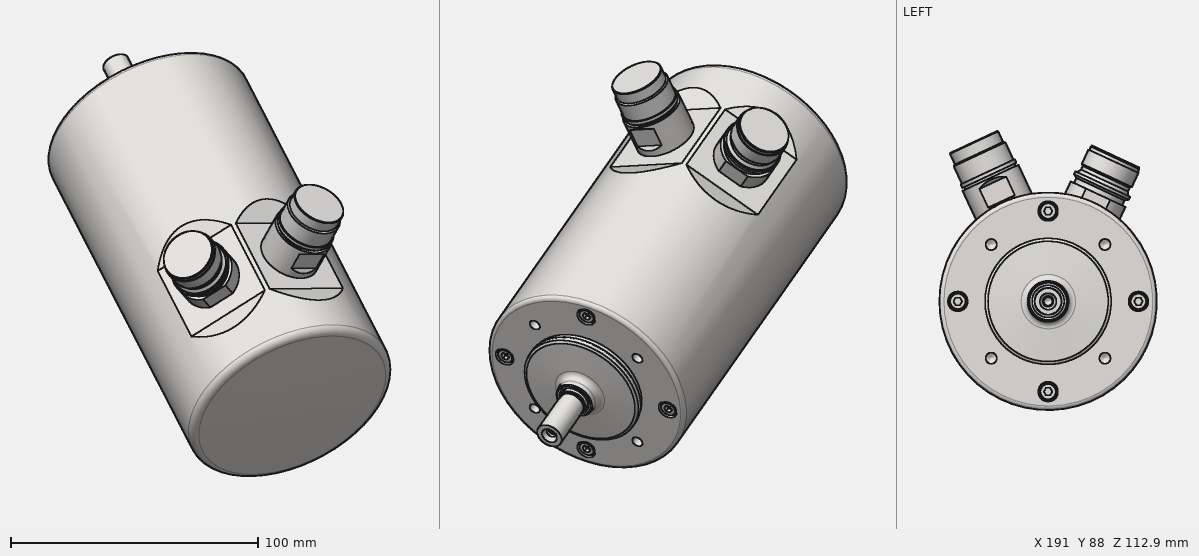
import cadquery as cq
import math


housing_radius = 44.0
housing_length = 155.2
front_edge_fillet = 1.8
rear_edge_fillet = 3.2
rear_dome_height = 1.3

pilot_radius = 25.5
pilot_undercut_radius = 25.0
pilot_undercut_length = 2.2
pilot_length = 6.0
pilot_chamfer_length = 0.6
pilot_chamfer_height = 1.2
pilot_cone_rise = 1.0
nose_fillet_radius = 11.0
nose_root_radius = 16.6 / 2
nose_root = 9.0
nose_radius = 16.0 / 2
nose_face_radius = 15.0 / 2
nose_tip = 11.6
seal_recess_radius = 13.0 / 2
seal_recess_depth = 2.0

shaft_radius = 11.0 / 2
shaft_tip = 34.5
shaft_groove_radius = 10.5 / 2
shaft_groove_start = 12.3
shaft_groove_end = 13.5

center_core_diameter = 3.43
center_core_depth = 14.0
center_guide_diameter = 4.35
center_guide_depth = 3.5
center_mouth_diameter = 6.7
center_mouth_depth = 2.0

hole_count = 4
screw_circle_radius = 36.5
screw_bore_diameter = 8.0
screw_bore_depth = 4.0
screw_head_diameter = 7.0
screw_head_height = 3.6
screw_head_chamfer = 0.4
socket_across_flats = 3.0
socket_depth = 2.0
tapped_circle_radius = 32.5
tapped_diameter = 4.5
tapped_depth = 10.0
drill_point_angle = 118.0

connector_x = 110.3
connector_tilt = 25.0
seat_height = 40.3
seat_length = 36.4
seat_ramp_angle = 20.5
wrench_flats = 22.0

tall_top = 71.1
tall_top_radius = 21.6 / 2
tall_face_radius = 21.0 / 2
tall_shoulder_top = 66.1
tall_shoulder_bottom = 65.6
tall_sleeve_radius = 23.1 / 2
tall_collar_top = 57.8
tall_collar_bottom = 56.2
tall_collar_radius = 24.2 / 2
tall_base_top = 55.1
tall_groove_radius = 22.6 / 2
tall_base_radius = 25.0 / 2
tall_flat_bottom = 44.6
tall_flat_top = 52.9

short_top = 64.6
short_face_radius = 21.15 / 2
short_rim = 64.0
short_rim_radius = 21.6 / 2
short_sleeve_top = 62.5
short_sleeve_radius = 22.4 / 2
short_sleeve_bottom = 56.2
short_waist_top = 55.5
short_waist_radius = 21.0 / 2
short_waist_bottom = 53.9
short_collar_top = 52.3
short_collar_inner_radius = 23.0 / 2
short_collar_bottom = 51.0
short_collar_radius = 24.5 / 2
short_groove_top = 50.0
short_groove_radius = 21.6 / 2
short_base_top = 47.8
short_base_radius = 24.5 / 2


def turned_body():
    """Housing, pilot, nose and shaft turned about the X axis."""
    dome_edge_radius = housing_radius - rear_edge_fillet
    dome_sphere = (dome_edge_radius**2 + rear_dome_height**2) / (2 * rear_dome_height)
    nose_chamfer = nose_radius - nose_face_radius
    nose_fillet = nose_fillet_radius - nose_root_radius
    pilot_face = pilot_length - pilot_cone_rise
    profile = (
        cq.Workplane("XY")
        .moveTo(-shaft_tip, 0)
        .lineTo(-shaft_tip, shaft_radius)
        .lineTo(-shaft_groove_end, shaft_radius)
        .lineTo(-shaft_groove_end, shaft_groove_radius)
        .lineTo(-shaft_groove_start, shaft_groove_radius)
        .lineTo(-shaft_groove_start, shaft_radius)
        .lineTo(seal_recess_depth - nose_tip, shaft_radius)
        .lineTo(seal_recess_depth - nose_tip, seal_recess_radius)
        .lineTo(-nose_tip, seal_recess_radius)
        .lineTo(-nose_tip, nose_face_radius)
        .lineTo(nose_chamfer - nose_tip, nose_radius)
        .lineTo(-nose_root, nose_root_radius)
        .radiusArc((-pilot_length, nose_fillet_radius), -nose_fillet)
        .lineTo(-pilot_face, pilot_radius - pilot_chamfer_height)
        .lineTo(pilot_chamfer_length - pilot_face, pilot_radius)
        .lineTo(-pilot_undercut_length, pilot_radius)
        .lineTo(-pilot_undercut_length, pilot_undercut_radius)
        .lineTo(0, pilot_undercut_radius)
        .lineTo(0, housing_radius - front_edge_fillet)
        .radiusArc((front_edge_fillet, housing_radius), front_edge_fillet)
        .lineTo(housing_length - rear_edge_fillet, housing_radius)
        .radiusArc((housing_length, dome_edge_radius), rear_edge_fillet)
        .radiusArc((housing_length + rear_dome_height, 0), dome_sphere)
        .close()
    )
    return profile.revolve(360, (0, 0, 0), (1, 0, 0))


def front_plane(x, across=0.0, up=0.0):
    """Workplane at the given place whose normal points into the motor (+X)."""
    return cq.Workplane(cq.Plane(origin=(x, across, up), xDir=(0, 1, 0), normal=(1, 0, 0)))


def circle_points(radius, first_angle):
    """Evenly spaced places (Y, Z) on a circle about the motor axis."""
    angles = [math.radians(first_angle + 360 / hole_count * i) for i in range(hole_count)]
    return [(radius * math.cos(angle), radius * math.sin(angle)) for angle in angles]


def drill_tip_length(diameter):
    return diameter / 2 / math.tan(math.radians(drill_point_angle / 2))


def drilled_hole(x, across, up, diameter, depth):
    """Blind hole with a conical bottom, as a solid to cut away."""
    radius = diameter / 2
    outline = (
        cq.Workplane(cq.Plane(origin=(x, across, up), xDir=(1, 0, 0), normal=(0, 0, 1)))
        .lineTo(depth + drill_tip_length(diameter), 0)
        .lineTo(depth, radius)
        .lineTo(0, radius)
        .close()
    )
    return outline.revolve(360, (0, 0, 0), (1, 0, 0))


def shaft_center_hole():
    """Threaded center hole with a guide bore and a conical mouth."""
    core = drilled_hole(-shaft_tip, 0, 0, center_core_diameter, center_core_depth)
    guide = front_plane(-shaft_tip).circle(center_guide_diameter / 2).extrude(center_guide_depth)
    mouth = (
        front_plane(-shaft_tip)
        .circle(center_mouth_diameter / 2)
        .workplane(offset=center_mouth_depth)
        .circle(center_guide_diameter / 2)
        .loft()
    )
    return core.union(guide).union(mouth)


def screw_recess(across, up):
    """Counterbore left around a socket head screw, with the hexagon socket."""
    bore = front_plane(0, across, up).circle(screw_bore_diameter / 2).extrude(screw_bore_depth)
    head = (
        front_plane(screw_bore_depth - screw_head_height, across, up)
        .circle(screw_head_diameter / 2)
        .extrude(screw_head_height)
        .faces("<X")
        .chamfer(screw_head_chamfer)
    )
    socket = (
        front_plane(0, across, up)
        .polygon(6, socket_across_flats / math.cos(math.pi / 6))
        .extrude(screw_bore_depth - screw_head_height + socket_depth)
    )
    return bore.cut(head).union(socket)


def stand_up(part, tilt):
    """Move a part from the upright position to its tilted place on the motor."""
    return part.rotate((0, 0, 0), (1, 0, 0), -tilt).translate((connector_x, 0, 0))


def connector_seat(tilt):
    """Flat with a ramp at each end, as a solid to cut away."""
    rise = housing_radius - seat_height + 1
    half_flat = seat_length / 2
    half_top = half_flat + rise / math.tan(math.radians(seat_ramp_angle))
    seat = (
        cq.Workplane("XZ")
        .moveTo(-half_flat, seat_height)
        .lineTo(half_flat, seat_height)
        .lineTo(half_top, seat_height + rise)
        .lineTo(-half_top, seat_height + rise)
        .close()
        .extrude(housing_radius, both=True)
    )
    return stand_up(seat, tilt)


motor = turned_body().cut(shaft_center_hole())
for hole_across, hole_up in circle_points(screw_circle_radius, 0):
    motor = motor.cut(screw_recess(hole_across, hole_up))
for hole_across, hole_up in circle_points(tapped_circle_radius, 45):
    motor = motor.cut(drilled_hole(0, hole_across, hole_up, tapped_diameter, tapped_depth))
for seat_tilt in (connector_tilt, -connector_tilt):
    motor = motor.cut(connector_seat(seat_tilt))


def turned_connector(outline):
    """Solid of revolution about Z from (radius, height) points, top to bottom."""
    points = [(0, outline[0][1]), *outline, (0, outline[-1][1])]
    return cq.Workplane("XZ").polyline(points).close().revolve(360, (0, 0, 0), (0, 1, 0))


def wrench_flat(side, outline):
    """Cutter for one flat; its outline holds (X, Z) points for the +X side."""
    points = [(side * x, z) for x, z in outline]
    return cq.Workplane("XZ").polyline(points).close().extrude(housing_radius, both=True)


def tall_connector():
    top_chamfer = tall_top_radius - tall_face_radius
    flat_runout = tall_base_radius - wrench_flats / 2
    connector = turned_connector([
        (tall_face_radius, tall_top),
        (tall_top_radius, tall_top - top_chamfer),
        (tall_top_radius, tall_shoulder_top),
        (tall_sleeve_radius, tall_shoulder_bottom),
        (tall_sleeve_radius, tall_collar_top),
        (tall_collar_radius, tall_collar_top),
        (tall_collar_radius, tall_collar_bottom),
        (tall_groove_radius, tall_collar_bottom),
        (tall_groove_radius, tall_base_top),
        (tall_base_radius, tall_base_top),
        (tall_base_radius, seat_height),
    ])
    flat_outline = [
        (wrench_flats / 2, tall_flat_bottom),
        (wrench_flats / 2, tall_flat_top),
        (tall_base_radius, tall_flat_top + flat_runout),
        (tall_base_radius, tall_flat_bottom - flat_runout),
    ]
    for side in (1, -1):
        connector = connector.cut(wrench_flat(side, flat_outline))
    return stand_up(connector, connector_tilt)


def short_connector():
    connector = turned_connector([
        (short_face_radius, short_top),
        (short_rim_radius, short_rim),
        (short_rim_radius, short_sleeve_top),
        (short_sleeve_radius, short_sleeve_top),
        (short_sleeve_radius, short_sleeve_bottom),
        (short_waist_radius, short_waist_top),
        (short_waist_radius, short_waist_bottom),
        (short_collar_inner_radius, short_collar_top),
        (short_collar_radius, short_collar_top),
        (short_collar_radius, short_collar_bottom),
        (short_groove_radius, short_groove_top),
        (short_groove_radius, short_base_top),
        (short_base_radius, short_base_top),
        (short_base_radius, seat_height),
    ])
    flat_outline = [
        (wrench_flats / 2, seat_height),
        (wrench_flats / 2, short_base_top),
        (short_base_radius, short_base_top),
        (short_base_radius, seat_height),
    ]
    for side in (1, -1):
        connector = connector.cut(wrench_flat(side, flat_outline))
    return stand_up(connector, -connector_tilt)


result = cq.Compound.makeCompound([motor.val(), tall_connector().val(), short_connector().val()])